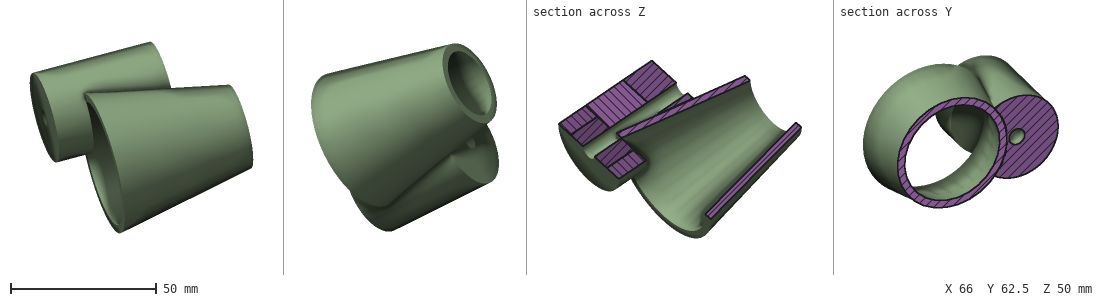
import cadquery as cq

overall_width = 66.0
overall_depth = 62.5

barrel_diameter = 32.0
barrel_radius = barrel_diameter / 2
bore_diameter = 5.9
insert_diameter = 18.9
front_length = 12.5
middle_length = 17.1
rear_length = 13.0

cone_front_radius = (overall_width - barrel_radius) / 2
cone_rear_radius = 15.0
cone_wall = 3.0
cone_length = overall_depth - front_length
cone_axis_x = cone_front_radius

along_y = cq.Vector(0, 1, 0)


def cylinder(diameter, start_y, length):
    """Cylinder on the barrel axis."""
    return cq.Workplane(
        cq.Solid.makeCylinder(diameter / 2, length, cq.Vector(0, start_y, 0), along_y)
    )


def tube(outer_diameter, inner_diameter, start_y, length):
    """Cylinder on the barrel axis with a through bore."""
    bore = cylinder(inner_diameter, start_y, length)
    return cylinder(outer_diameter, start_y, length).cut(bore)


def tapered_plug(inset):
    """Solid cone, reduced in radius by the inset."""
    return cq.Workplane(
        cq.Solid.makeCone(
            cone_front_radius - inset,
            cone_rear_radius - inset,
            cone_length,
            cq.Vector(cone_axis_x, 0, 0),
            along_y,
        )
    )


cone_envelope = tapered_plug(0)


def seated_segment(start_y, length):
    """Bored barrel segment, recessed to fit against the outside of the cone."""
    return tube(barrel_diameter, bore_diameter, start_y, length).cut(cone_envelope)


cone = cone_envelope.cut(tapered_plug(cone_wall))

front_ring = tube(barrel_diameter, insert_diameter, -front_length, front_length)
front_insert = tube(insert_diameter, bore_diameter, -front_length, front_length)

middle_segment = seated_segment(0, middle_length)
rear_segment = seated_segment(middle_length, rear_length)

result = cq.Compound.makeCompound([
    cone.solids().val(),
    front_ring.solids().val(),
    front_insert.solids().val(),
    middle_segment.solids().val(),
    rear_segment.solids().val(),
])